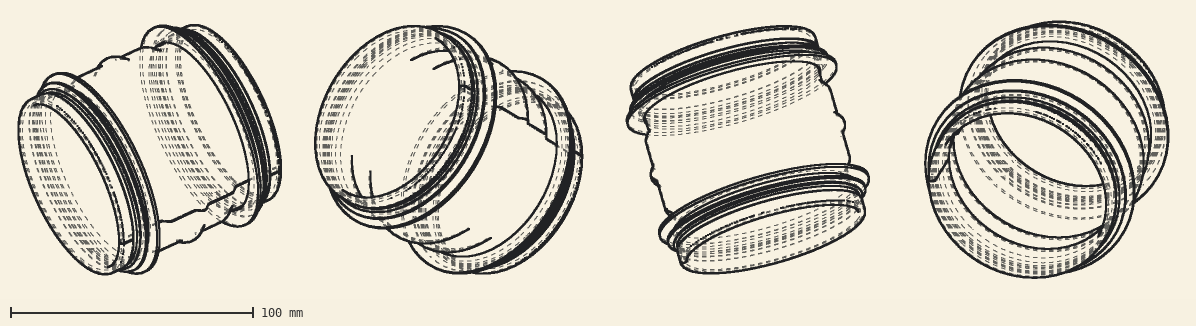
import cadquery as cq
import math


length = 79.0
sheet = 0.5
neck_radius = 74.2 / 2
barrel_radius = 79.1 / 2
bead_rise = 2.0
slope = math.radians(40)
tight_bend = 1.0
wide_bend = 2.0
shoulder_start = 14.5
seam_gap = 0.1
hem_edge = 33.5

hem_inner_radius = barrel_radius - sheet
cavity_bend = (hem_inner_radius - neck_radius) / 2
hem_bend_start = length / 2 - sheet - cavity_bend

seal_bore_radius = 75.4 / 2
flange_radius = 89.45 / 2
flange_inner_y = 24.15
flange_tip = 1.25
flange_root = 1.7
main_lip_radius = 84.4 / 2
main_lip_inner_y = 28.45
main_lip_tip = 0.9
main_lip_root = 1.25
small_lip_radius = 80.5 / 2
small_lip_inner_y = 30.5
small_lip_thickness = 1.1


def ramp_points(start_y, start_radius, drop):
    """End of the crest bend, start of the hollow bend and end of the ramp, going down along +Y.

    Each point is (y, radius, tilt), with tilt the angle of the surface normal from radial.
    """
    bend_drop = 1 - math.cos(slope)
    crest_y = start_y + wide_bend * math.sin(slope)
    crest_radius = start_radius - wide_bend * bend_drop
    hollow_radius = start_radius - drop + tight_bend * bend_drop
    hollow_y = crest_y + (crest_radius - hollow_radius) / math.tan(slope)
    end_y = hollow_y + tight_bend * math.sin(slope)
    return [
        (crest_y, crest_radius, slope),
        (hollow_y, hollow_radius, slope),
        (end_y, start_radius - drop, 0),
    ]


def half_skin():
    """Tangent points of the outer sheet surface from the bead crest to the +Y hem edge."""
    bead = ramp_points(0, barrel_radius + bead_rise, bead_rise)
    shoulder = ramp_points(shoulder_start, barrel_radius, barrel_radius - neck_radius)
    hem = [
        (hem_bend_start, neck_radius, 0),
        (hem_bend_start, hem_inner_radius, -math.pi),
        (hem_edge, hem_inner_radius, -math.pi),
    ]
    return bead + [(shoulder_start, barrel_radius, 0)] + shoulder + hem


def trace(profile, points):
    """Add alternating straight and tangent arc segments through the points."""
    for index, point in enumerate(points):
        if index % 2 == 0:
            profile = profile.lineTo(*point)
        else:
            profile = profile.tangentArcPoint(point, relative=False)
    return profile


def revolve_about_y(profile):
    return profile.close().revolve(360, (0, 0), (0, 1))


def make_seam_gap():
    """Cutter for the open butt seam of the rolled sheet, along the +X side."""
    return cq.Workplane("XY").box(flange_radius, length, seam_gap, centered=(False, True, True))


def make_tube():
    half = half_skin()
    mirrored = [(-y, radius, -tilt) for y, radius, tilt in reversed(half)]
    skin = mirrored + half
    front_side = [(radius, y) for y, radius, tilt in skin]
    back_side = [
        (radius - sheet * math.cos(tilt), y - sheet * math.sin(tilt))
        for y, radius, tilt in reversed(skin)
    ]
    profile = cq.Workplane("XY").moveTo(*front_side[0])
    profile = trace(profile, front_side[1:])
    profile = profile.lineTo(*back_side[0])
    profile = trace(profile, back_side[1:])
    return revolve_about_y(profile).cut(make_seam_gap()).solids()


def make_tapered_lip(inner_y, tip_radius, tip, root):
    """Ring with a flat inner face and a conical outer face that thins towards the rim."""
    profile = cq.Workplane("XY").polyline([
        (seal_bore_radius, inner_y),
        (tip_radius, inner_y),
        (tip_radius, inner_y + tip),
        (hem_inner_radius, inner_y + root),
        (seal_bore_radius, inner_y + root),
    ])
    return revolve_about_y(profile)


def make_round_lip(inner_y, tip_radius, thickness):
    """Ring of constant thickness with a fully rounded rim."""
    rim_start = tip_radius - thickness / 2
    profile = (
        cq.Workplane("XY")
        .moveTo(seal_bore_radius, inner_y)
        .lineTo(rim_start, inner_y)
        .threePointArc((tip_radius, inner_y + thickness / 2), (rim_start, inner_y + thickness))
        .lineTo(seal_bore_radius, inner_y + thickness)
    )
    return revolve_about_y(profile)


def make_seal():
    """Seal of the +Y end; its body fills the hem cavity up to the hem bend."""
    body = revolve_about_y(cq.Workplane("XY").polyline([
        (seal_bore_radius, flange_inner_y),
        (hem_inner_radius, flange_inner_y),
        (hem_inner_radius, hem_bend_start),
        (seal_bore_radius, hem_bend_start),
    ]))
    flange = make_tapered_lip(flange_inner_y, flange_radius, flange_tip, flange_root)
    main_lip = make_tapered_lip(main_lip_inner_y, main_lip_radius, main_lip_tip, main_lip_root)
    small_lip = make_round_lip(small_lip_inner_y, small_lip_radius, small_lip_thickness)
    return body.union(flange).union(main_lip).union(small_lip).solids()


tube = make_tube()

seals = []
for turn in (0, 180):
    seals.append(make_seal().rotate((0, 0, 0), (1, 0, 0), turn))

result = cq.Compound.makeCompound([tube.val(), *[seal.val() for seal in seals]])